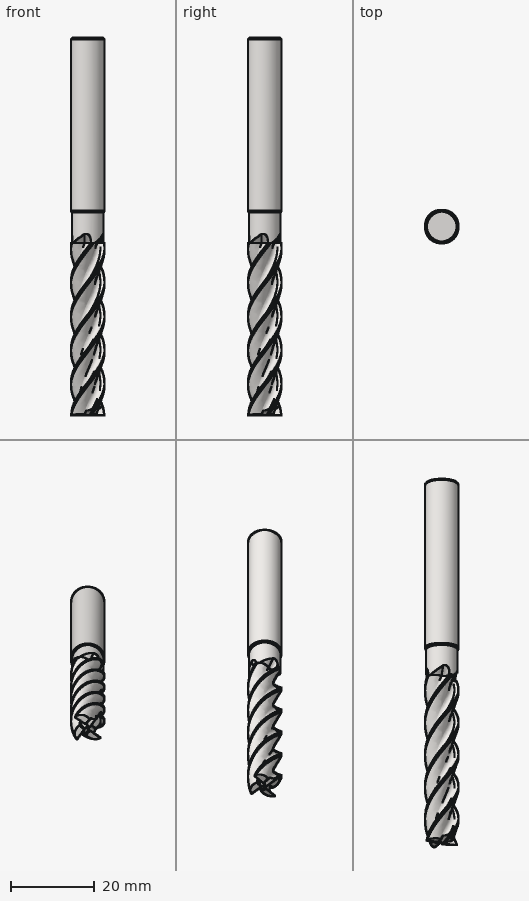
import cadquery as cq
import math

overall_length = 90.0
tool_radius = 4.005
neck_radius = 3.8
cut_length = 41.1
neck_top = 48.3
shoulder_height = 0.45
shank_chamfer = 0.45

flute_count = 4
flute_angle = 360 / flute_count
helix_angle = 38.0
helix_lead = 2 * math.pi * tool_radius / math.tan(math.radians(helix_angle))
edge_start_angle = 2.0
land_angle = 9.0

heel_radius = 3.195
heel_angle = 32.0
root_radius = 2.2
root_angle = flute_angle - 31.5
core_radius = 2.1
core_angle = 75.0
rake_radius = 3.015
rake_angle = flute_angle + 2.6
opening_radius = 5.4

runout_height = 2.2
runout_shift = neck_radius - core_radius

end_relief_angle = 12.0
end_relief_width = 2.7
tip_setback = 0.4
gash_width = 1.3
gash_front_lean = 22.0
gash_back_lean = 30.0
gash_start = 0.3
gash_roof_angle = 34.0


def twist(height):
    """Flute rotation, in degrees, over an axial height."""
    return 360 * height / helix_lead


def polar(radius, angle):
    return cq.Vector(radius * math.cos(math.radians(angle)), radius * math.sin(math.radians(angle)), 0)


def groove_outline():
    """Closed cross-section of one flute groove at Z = 0, open past the tool's outside."""
    land_end = polar(tool_radius, land_angle)
    root = polar(root_radius, root_angle)
    rake = polar(rake_radius, rake_angle)
    edge = polar(tool_radius, flute_angle)
    outside_start = polar(opening_radius, land_angle)
    outside_middle = polar(opening_radius, (land_angle + flute_angle) / 2)
    outside_end = polar(opening_radius, flute_angle)
    return cq.Wire.assembleEdges([
        cq.Edge.makeLine(outside_start, land_end),
        cq.Edge.makeThreePointArc(land_end, polar(heel_radius, heel_angle), root),
        cq.Edge.makeThreePointArc(root, polar(core_radius, core_angle), rake),
        cq.Edge.makeLine(rake, edge),
        cq.Edge.makeLine(edge, outside_end),
        cq.Edge.makeThreePointArc(outside_end, outside_middle, outside_start),
    ])


def around_axis(shape, first_angle=0.0):
    """Copies of a shape, one per flute."""
    copies = []
    for index in range(flute_count):
        copies.append(shape.rotate((0, 0, 0), (0, 0, 1), first_angle + index * flute_angle))
    return copies


def end_relief():
    """Wedge that makes the end face climb away from the cutting edge lying along +X."""
    rise = end_relief_width * math.tan(math.radians(end_relief_angle))
    return (
        cq.Workplane("YZ")
        .moveTo(tip_setback, 0)
        .line(end_relief_width, rise)
        .line(0, -2 * rise)
        .line(-end_relief_width, 0)
        .close()
        .extrude(opening_radius)
        .val()
    )


def end_gash():
    """Slot in front of the cutting edge lying along +X: two leaning walls under a climbing roof."""
    roof_height = (opening_radius - gash_start) * math.tan(math.radians(gash_roof_angle))
    front_shift = roof_height * math.tan(math.radians(gash_front_lean))
    back_shift = roof_height * math.tan(math.radians(gash_back_lean))
    slot = (
        cq.Workplane("YZ")
        .moveTo(tip_setback, 0)
        .lineTo(tip_setback + back_shift, roof_height)
        .lineTo(tip_setback - gash_width + front_shift, roof_height)
        .lineTo(tip_setback - gash_width, 0)
        .close()
        .extrude(opening_radius)
    )
    under_roof = (
        cq.Workplane("XZ")
        .moveTo(gash_start, 0)
        .lineTo(opening_radius, roof_height)
        .lineTo(opening_radius, 0)
        .close()
        .extrude(opening_radius, both=True)
    )
    return slot.intersect(under_roof).val()


def make_cutter():
    disc = cq.Face.makeFromWires(cq.Wire.makeCircle(tool_radius, cq.Vector(), cq.Vector(0, 0, 1)))
    groove = cq.Face.makeFromWires(groove_outline())
    section = disc.cut(*around_axis(groove, edge_start_angle)).Faces()[0]
    blade = cq.Solid.extrudeLinearWithRotation(
        section, cq.Vector(), cq.Vector(0, 0, cut_length), twist(cut_length)
    )
    ends = around_axis(end_relief(), edge_start_angle) + around_axis(end_gash(), edge_start_angle)
    return blade.cut(*ends).Solids()[0]


def runout():
    """Groove that climbs straight up and out of the neck."""
    start = groove_outline()
    end = start.translate(polar(runout_shift, core_angle))
    end = end.translate(cq.Vector(0, 0, runout_height))
    return cq.Solid.makeLoft([start, end], True).translate(cq.Vector(0, 0, cut_length))


def make_shank():
    body = (
        cq.Workplane("XZ")
        .moveTo(0, cut_length)
        .lineTo(neck_radius, cut_length)
        .lineTo(neck_radius, neck_top)
        .lineTo(tool_radius, neck_top + shoulder_height)
        .lineTo(tool_radius, overall_length - shank_chamfer)
        .lineTo(tool_radius - shank_chamfer, overall_length)
        .lineTo(0, overall_length)
        .close()
        .revolve(360, (0, 0, 0), (0, 1, 0))
        .val()
    )
    return body.cut(*around_axis(runout(), edge_start_angle + twist(cut_length))).Solids()[0]


cutter = make_cutter()
shank = make_shank()
result = cq.Compound.makeCompound([cutter, shank])